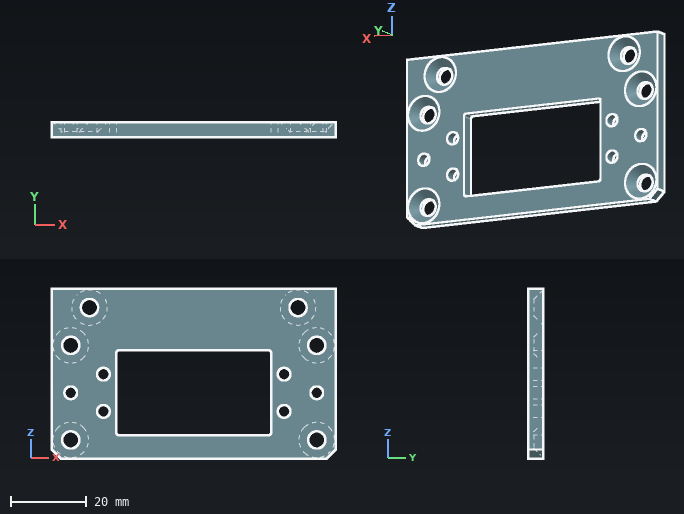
import cadquery as cq

width = 75.0
thickness = 4.0
height = 45.0
corner_chamfer = 2.5

window_width = 40.9
window_height = 22.35
window_corner_radius = 0.7
window_center_z = 17.5

large_diameter = 4.5
side_hole_x = 32.5
lower_hole_z = 5.0
upper_hole_z = 30.0
top_hole_x = 27.5
top_hole_z = 40.0

countersink_diameter = 9.4
countersink_half_angle = 45
countersink_depth = (countersink_diameter - large_diameter) / 2

small_diameter = 3.3
window_hole_x = 23.85
window_hole_spacing = 9.8


def mirrored(x, z):
    """Return a point and its mirror image across the plate's centreline."""
    return [(-x, z), (x, z)]


def through_body(profile):
    """Extrude a front-face profile through the full plate thickness."""
    return profile.extrude(-thickness)


def front_plane():
    """Start a sketch on the front face, with local axes along X and Z."""
    return cq.Workplane("XZ")


plate = (
    front_plane()
    .rect(width, height)
    .extrude(-thickness)
    .translate((0, 0, height / 2))
    .faces("<Z")
    .edges("|Y")
    .chamfer(corner_chamfer)
)

window = (
    through_body(front_plane().center(0, window_center_z).rect(window_width, window_height))
    .edges("|Y")
    .fillet(window_corner_radius)
)

large_points = (
    mirrored(side_hole_x, lower_hole_z)
    + mirrored(side_hole_x, upper_hole_z)
    + mirrored(top_hole_x, top_hole_z)
)
small_points = (
    mirrored(side_hole_x, window_center_z)
    + mirrored(window_hole_x, window_center_z - window_hole_spacing / 2)
    + mirrored(window_hole_x, window_center_z + window_hole_spacing / 2)
)
large_holes = through_body(front_plane().pushPoints(large_points).circle(large_diameter / 2))
small_holes = through_body(front_plane().pushPoints(small_points).circle(small_diameter / 2))

countersinks = (
    cq.Workplane("XZ", origin=(0, thickness, 0))
    .pushPoints(large_points)
    .circle(countersink_diameter / 2)
    .extrude(countersink_depth, taper=countersink_half_angle)
)

result = plate.cut(window).cut(large_holes).cut(small_holes).cut(countersinks)